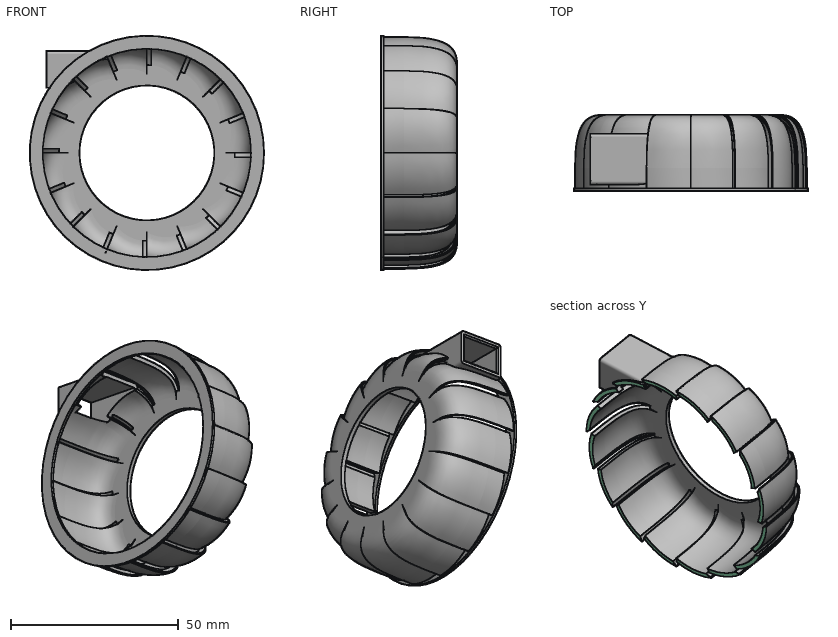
import cadquery as cq
import math

depth = 22.8
flange_radius = 34.9
flange_thickness = 0.85
mouth_radius = 31.0
back_hole_radius = 20.05

blade_count = 16
blade_pitch = 360 / blade_count
blade_axis_offset = 14.7
blade_outer_radius = 19.9
wall = 1.5
blade_inner_radius = blade_outer_radius - wall
straight_length = 6.85
dome_drop = 8.4
dome_axial_pull = 0.8
dome_radial_pull = 0.65
lip_width = 1.25
lip_depth = 1.05

duct_left = -29.95
duct_right = -11.9
duct_top = 30.4
duct_bottom = 19.35
duct_front = 1.95
duct_back = 17.1
duct_edge_radius = 1.0
duct_blades = (5, 6)
bore_end = 0.0
mouth_bevel_angle = 45
mouth_wall = 1.0


def ring_point(radius, angle):
    """Point at an angle measured from +X towards +Z."""
    turn = math.radians(angle)
    return (radius * math.cos(turn), 0, radius * math.sin(turn))


def cylinder_y(radius, length):
    """Cylinder about the Y axis, starting at Y = 0."""
    return cq.Workplane("XZ").circle(radius).extrude(-length)


def dome_curve(radius, length, drop):
    """Control points of the curve from the top of the skirt over to the flat back."""
    rise = length - straight_length
    return [
        (radius, straight_length),
        (radius, straight_length + dome_axial_pull * rise),
        (radius - (1 - dome_radial_pull) * drop, length),
        (radius - drop, length),
    ]


def at_blade_axis(body):
    """Body about the Y axis, moved to the axis of the first blade."""
    return body.translate(ring_point(blade_axis_offset, blade_pitch))


def first_sector():
    """Wedge that holds the first blade, from +X to one blade pitch."""
    reach = 2 * flange_radius
    end = ring_point(reach, blade_pitch)
    return cq.Workplane("XZ").polyline([(0, 0), (reach, 0), (end[0], end[2])]).close().extrude(-depth)


def turn_to_blade(body, index):
    """The first-sector body turned round to another blade position."""
    return body.rotate((0, 0, 0), (0, 1, 0), -index * blade_pitch)


outer_curve = dome_curve(blade_outer_radius, depth, dome_drop)
inner_curve = dome_curve(blade_inner_radius, depth - wall, dome_drop - wall)


def dome_shell():
    """Wall of the dome about the Y axis: a straight skirt that curves over towards the back."""
    return (
        cq.Workplane("XY")
        .moveTo(blade_inner_radius, 0)
        .lineTo(blade_outer_radius, 0)
        .lineTo(*outer_curve[0])
        .bezier(outer_curve[1:], includeCurrent=True)
        .lineTo(*inner_curve[-1])
        .bezier(inner_curve[-2::-1], includeCurrent=True)
        .close()
        .revolve(360, (0, 0, 0), (0, 1, 0))
    )


def dome_cavity():
    """Space inside the dome wall."""
    return (
        cq.Workplane("XY")
        .lineTo(blade_inner_radius, 0)
        .lineTo(*inner_curve[0])
        .bezier(inner_curve[1:], includeCurrent=True)
        .lineTo(0, depth - wall)
        .close()
        .revolve(360, (0, 0, 0), (0, 1, 0))
    )


def lipped_blade(sector):
    """One blade, with the inner edge of its far end bevelled to open the slot."""
    blade = at_blade_axis(dome_shell()).intersect(sector)
    lip_x, _, lip_z = ring_point(blade_axis_offset + blade_inner_radius, blade_pitch)
    lip_edge = cq.NearestToPointSelector((lip_x, straight_length / 2, lip_z))
    return blade.edges(lip_edge).chamfer(lip_width, lip_depth)


def back_plate(sector):
    """Flat floor that closes the first sector out to the blade."""
    disc = cylinder_y(inner_curve[-1][0], wall).translate((0, depth - wall, 0))
    return at_blade_axis(disc).intersect(sector)


def duct_block(left, right, inset):
    """Box along X, set in from the duct's outer faces."""
    size_y = duct_back - duct_front - 2 * inset
    size_z = duct_top - duct_bottom - 2 * inset
    corner = (left, duct_front + inset, duct_bottom + inset)
    return cq.Workplane("XY").box(right - left, size_y, size_z, centered=False).translate(corner)


def duct_body():
    """Duct outside, with three long edges rounded and the lower front one left sharp."""
    block = duct_block(duct_left, duct_right, 0)
    return block.edges("|X and (>Y or >Z)").fillet(duct_edge_radius)


def duct_bore():
    """Bore from the duct mouth through the blades it meets, with a bevelled entry."""
    bore = duct_block(duct_left, bore_end, wall)
    bevel_depth = (wall - mouth_wall) / math.tan(math.radians(mouth_bevel_angle))
    entry_center = (duct_left, (duct_front + duct_back) / 2, (duct_bottom + duct_top) / 2)
    entry = (
        cq.Workplane("YZ", origin=entry_center)
        .rect(duct_back - duct_front - 2 * mouth_wall, duct_top - duct_bottom - 2 * mouth_wall)
        .extrude(bevel_depth, taper=mouth_bevel_angle)
    )
    return bore.union(entry)


def dome_ring():
    """Blades and back plate all round the ring, with the back hole."""
    sector = first_sector()
    hole = cylinder_y(back_hole_radius, depth)
    segment = lipped_blade(sector).union(back_plate(sector)).cut(hole)
    ring = cq.Workplane("XY")
    for index in range(blade_count):
        ring = ring.add(turn_to_blade(segment, index))
    return ring.combine()


def front_flange():
    """Thin flat ring that joins the blades at the open front."""
    return cylinder_y(flange_radius, flange_thickness).cut(cylinder_y(mouth_radius, flange_thickness))


def duct_outside_blades():
    """Duct walls, kept clear of the space inside the blades they meet."""
    duct = duct_body()
    cavity = at_blade_axis(dome_cavity()).intersect(first_sector())
    for index in duct_blades:
        duct = duct.cut(turn_to_blade(cavity, index))
    return duct


result = dome_ring().union(front_flange()).union(duct_outside_blades()).cut(duct_bore())